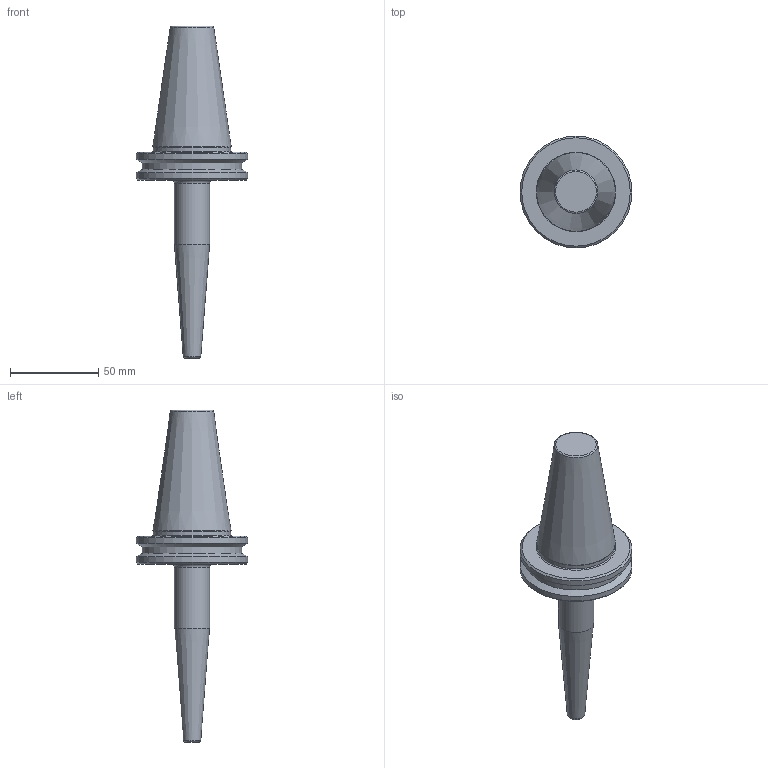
import cadquery as cq
import math


gauge_diameter = 44.45
taper_length = 68.4
taper_ratio = 7 / 24
shank_end_fillet = 0.8

neck_diameter = 44.0
gauge_edge_chamfer_height = 0.4
neck_fillet = 0.6

flange_diameter = 63.5
flange_top_z = -3.2
flange_bottom_z = -19.1
rim_chamfer = 1.0
groove_centre_z = -11.1
groove_floor_diameter = 56.6
groove_floor_width = 3.65
groove_wall_angle = 30.0

stem_diameter = 20.0
stem_fillet = 1.6
stem_taper_start_z = -55.4
tip_z = -120.0
tip_diameter = 10.0
tip_fillet = 1.0

gauge_radius = gauge_diameter / 2
shank_end_radius = gauge_radius - taper_length * taper_ratio / 2
neck_radius = neck_diameter / 2
flange_radius = flange_diameter / 2
groove_floor_radius = groove_floor_diameter / 2
groove_wall_height = (flange_radius - groove_floor_radius) * math.tan(math.radians(groove_wall_angle))
groove_half_floor = groove_floor_width / 2
groove_half_mouth = groove_half_floor + groove_wall_height
stem_radius = stem_diameter / 2
tip_radius = tip_diameter / 2


def revolve_profile(profile):
    """Turn a closed (radius, height) profile a full revolution about Z."""
    return profile.close().revolve(360, (0, 0, 0), (0, 1, 0))


def make_shank():
    """Cone with a rounded small end, down through the neck to the flange."""
    neck_fillet_z = flange_top_z + neck_fillet
    profile = (
        cq.Workplane("XZ")
        .moveTo(0, taper_length)
        .lineTo(shank_end_radius, taper_length)
        .lineTo(gauge_radius, 0)
        .lineTo(neck_radius, -gauge_edge_chamfer_height)
        .lineTo(neck_radius, neck_fillet_z)
        .radiusArc((neck_radius + neck_fillet, flange_top_z), -neck_fillet)
        .lineTo(0, flange_top_z)
    )
    return revolve_profile(profile).faces(">Z").edges().fillet(shank_end_fillet)


def make_flange():
    """Disc with chamfered rims and the V groove around it."""
    flat_radius = flange_radius - rim_chamfer
    profile = (
        cq.Workplane("XZ")
        .moveTo(0, flange_top_z)
        .lineTo(flat_radius, flange_top_z)
        .lineTo(flange_radius, flange_top_z - rim_chamfer)
        .lineTo(flange_radius, groove_centre_z + groove_half_mouth)
        .lineTo(groove_floor_radius, groove_centre_z + groove_half_floor)
        .lineTo(groove_floor_radius, groove_centre_z - groove_half_floor)
        .lineTo(flange_radius, groove_centre_z - groove_half_mouth)
        .lineTo(flange_radius, flange_bottom_z + rim_chamfer)
        .lineTo(flat_radius, flange_bottom_z)
        .lineTo(0, flange_bottom_z)
    )
    return revolve_profile(profile)


def make_stem():
    """Cylinder filleted into the flange, then a slender cone with a rounded tip."""
    profile = (
        cq.Workplane("XZ")
        .moveTo(0, flange_bottom_z)
        .lineTo(stem_radius + stem_fillet, flange_bottom_z)
        .radiusArc((stem_radius, flange_bottom_z - stem_fillet), -stem_fillet)
        .lineTo(stem_radius, stem_taper_start_z)
        .lineTo(tip_radius, tip_z + tip_fillet)
        .radiusArc((tip_radius - tip_fillet, tip_z), tip_fillet)
        .lineTo(0, tip_z)
    )
    return revolve_profile(profile)


result = make_shank().union(make_flange()).union(make_stem())